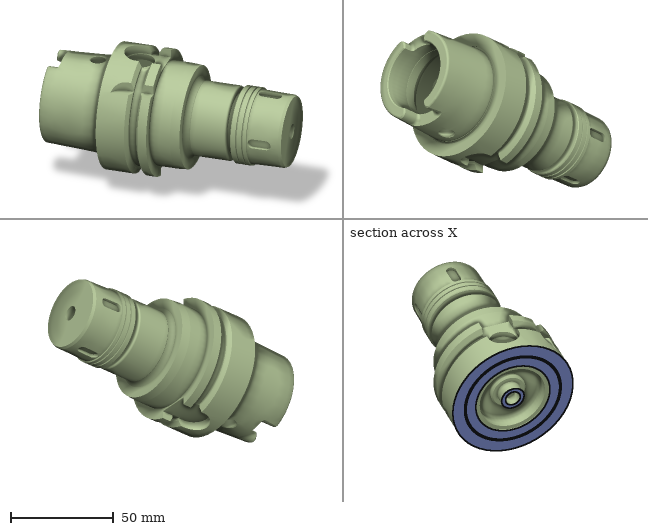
import cadquery as cq
import math


length = 122.0
taper_end = 29.8
flange_start = 32.0
groove_start = 46.4
groove_floor_start = 47.8
groove_floor_end = 51.7
groove_end = 53.2
flange_end = 57.7
collar_taper_start = 68.1
collar_end = 72.8
body_start = 75.6
body_end = 93.8
nut_start = 96.5
nut_rings_end = 104.7
nut_chamfer_start = 120.5

shank_front_radius = 21.7
taper_small_radius = 22.8
taper_slope = 1 / 20
flange_radius = 31.5
groove_rim_radius = 28.9
groove_radius = 27.5
collar_radius = 26.0
collar_end_radius = 25.6
body_radius = 18.5
neck_radius = 15.0
nut_ring_radius = 19.3
nut_large_radius = 18.4
nut_small_radius = 18.0
nut_face_radius = 17.5

shank_rounding = taper_small_radius - shank_front_radius
relief_depth = 0.4
relief_start = 30.5
relief_end = 31.4
face_recess_depth = 0.5
face_recess_fillet = 0.9
cove_radius = 2.9
cove_floor_radius = 18.3
body_step_run = 0.4
body_rounding = 0.9
nut_ring_chamfer = 0.4
nut_ring_groove_width = 0.7
nut_ring_groove_centres = (99.5, 102.6)

mouth_bore_radius = 17.26
mouth_bore_depth = 13.2
mouth_chamfer = 0.5
bore_radius = 17.02
clamp_shoulder_start = 18.2
clamp_shoulder_angle = math.radians(30)
undercut_diameter = 38.4
undercut_end = 33.0
bore_depth = 40.3
bore_floor_fillet = 1.3
tube_start = 18.8
tube_chamfer_end = 20.9
tube_radius = 6.0
tube_tip_radius = 5.31
tube_nut_height = 2.5
tube_nut_radius = 9.0
tube_nut_face_radius = 8.24
passage_diameter = 7.5

drive_slot_half_width = 6.2
drive_slot_round_radius = 2.9
drive_slot_shelf = 20.7
upper_drive_slot_depth = 6.0
lower_drive_slot_depth = 9.9
drive_slot_floor_fillet = 1.5
drive_slot_mouth_chamfer = 0.7

access_hole_x = 23.0
access_hole_diameter = 7.5
access_sink_diameter = 8.8
access_sink_depth = 0.6

flange_slot_x = 44.8
flange_slot_width = 15.9
flange_slot_floor = 26.5
chip_pocket_diameter = 14.0
chip_pocket_depth = 3.0
notch_offset = 19.9
notch_corner_x = 44.0
notch_corner_radius = 7.5

wrench_slot_start = 105.3
wrench_slot_end = 116.9
wrench_slot_width = 4.9
wrench_slot_floor = 16.3
wrench_slot_count = 4


def revolve_profile(profile):
    return profile.close().revolve(360, (0, 0, 0), (1, 0, 0))


def make_shank_and_flange():
    taper_large_radius = taper_small_radius + taper_slope * (taper_end - shank_rounding)
    relief_radius = taper_large_radius - relief_depth
    face_recess_floor = flange_start + face_recess_depth
    face_recess_radius = taper_large_radius + face_recess_fillet
    diagonal = shank_rounding * (1 - math.sqrt(0.5))
    cove_centre_r = cove_floor_radius + cove_radius
    cove_drop = math.sqrt(cove_radius**2 - (body_start - collar_end) ** 2)
    cove_mid_angle = (math.asin((body_start - collar_end) / cove_radius)) / 2
    cove_mid = (
        body_start - cove_radius * math.sin(cove_mid_angle),
        cove_centre_r - cove_radius * math.cos(cove_mid_angle),
    )
    profile = (
        cq.Workplane("XY")
        .lineTo(0, shank_front_radius)
        .threePointArc((diagonal, taper_small_radius - diagonal), (shank_rounding, taper_small_radius))
        .lineTo(taper_end, taper_large_radius)
        .lineTo(relief_start, taper_large_radius)
        .lineTo(relief_start, relief_radius)
        .lineTo(relief_end, relief_radius)
        .lineTo(relief_end, taper_large_radius)
        .lineTo(face_recess_floor - face_recess_fillet, taper_large_radius)
        .tangentArcPoint((face_recess_floor, face_recess_radius), relative=False)
        .lineTo(flange_start, face_recess_radius)
        .lineTo(flange_start, flange_radius)
        .lineTo(groove_start, flange_radius)
        .lineTo(groove_floor_start, groove_rim_radius)
        .lineTo(groove_floor_start, groove_radius)
        .lineTo(groove_floor_end, groove_radius)
        .lineTo(groove_floor_end, groove_rim_radius)
        .lineTo(groove_end, flange_radius)
        .lineTo(flange_end, flange_radius)
        .lineTo(flange_end, collar_radius)
        .lineTo(collar_taper_start, collar_radius)
        .lineTo(collar_end, collar_end_radius)
        .lineTo(collar_end, cove_centre_r - cove_drop)
        .threePointArc(cove_mid, (body_start, cove_floor_radius))
        .lineTo(body_start + body_step_run, body_radius)
        .lineTo(body_end - body_rounding, body_radius)
        .tangentArcPoint((body_end, body_radius - body_rounding), relative=False)
        .lineTo(body_end, neck_radius)
        .lineTo(nut_start, neck_radius)
        .lineTo(nut_start, 0)
    )
    return revolve_profile(profile)


def make_nut():
    profile = (
        cq.Workplane("XY")
        .moveTo(nut_start, 0)
        .lineTo(nut_start, nut_ring_radius - nut_ring_chamfer)
        .lineTo(nut_start + nut_ring_chamfer, nut_ring_radius)
    )
    for centre in nut_ring_groove_centres:
        groove_left = centre - nut_ring_groove_width / 2
        groove_right = centre + nut_ring_groove_width / 2
        profile = (
            profile.lineTo(groove_left, nut_ring_radius)
            .lineTo(groove_left, nut_large_radius)
            .lineTo(groove_right, nut_large_radius)
            .lineTo(groove_right, nut_ring_radius)
        )
    profile = (
        profile.lineTo(nut_rings_end, nut_ring_radius)
        .lineTo(nut_rings_end, nut_large_radius)
        .lineTo(nut_chamfer_start, nut_small_radius)
        .lineTo(length, nut_face_radius)
        .lineTo(length, 0)
    )
    return revolve_profile(profile)


def make_bore():
    undercut_radius = undercut_diameter / 2
    shoulder_run = (undercut_radius - bore_radius) / math.tan(clamp_shoulder_angle)
    fillet_start = bore_depth - bore_floor_fillet
    fillet_diagonal = bore_floor_fillet * (1 - math.sqrt(0.5))
    profile = (
        cq.Workplane("XY")
        .lineTo(0, mouth_bore_radius + mouth_chamfer)
        .lineTo(mouth_chamfer, mouth_bore_radius)
        .lineTo(mouth_bore_depth, mouth_bore_radius)
        .lineTo(mouth_bore_depth, bore_radius)
        .lineTo(clamp_shoulder_start, bore_radius)
        .lineTo(clamp_shoulder_start + shoulder_run, undercut_radius)
        .lineTo(undercut_end, undercut_radius)
        .lineTo(undercut_end, bore_radius)
        .lineTo(fillet_start, bore_radius)
        .threePointArc(
            (bore_depth - fillet_diagonal, bore_radius - fillet_diagonal),
            (bore_depth, bore_radius - bore_floor_fillet),
        )
        .lineTo(bore_depth, 0)
    )
    return revolve_profile(profile)


def make_coolant_tube():
    nut_face = bore_depth - tube_nut_height
    nut_chamfer_end = nut_face + tube_nut_radius - tube_nut_face_radius
    profile = (
        cq.Workplane("XY")
        .moveTo(tube_start, 0)
        .lineTo(tube_start, tube_tip_radius)
        .lineTo(tube_chamfer_end, tube_radius)
        .lineTo(nut_face, tube_radius)
        .lineTo(nut_face, tube_nut_face_radius)
        .lineTo(nut_chamfer_end, tube_nut_radius)
        .lineTo(bore_depth, tube_nut_radius)
        .lineTo(bore_depth, 0)
    )
    return revolve_profile(profile)


def drive_slot_outline():
    """Cross-section of the drive slot on +Z: straight walls that round outward onto a flat shelf."""
    bottom = 12.2
    top = flange_radius
    side = 12.2
    round_start = drive_slot_shelf - drive_slot_round_radius
    round_end_y = drive_slot_half_width + drive_slot_round_radius
    diagonal = drive_slot_round_radius * (1 - math.sqrt(0.5))
    mid_y = drive_slot_half_width + diagonal
    mid_z = drive_slot_shelf - diagonal
    return (
        cq.Workplane("YZ")
        .moveTo(-drive_slot_half_width, bottom)
        .lineTo(drive_slot_half_width, bottom)
        .lineTo(drive_slot_half_width, round_start)
        .threePointArc((mid_y, mid_z), (round_end_y, drive_slot_shelf))
        .lineTo(side, drive_slot_shelf)
        .lineTo(side, top)
        .lineTo(-side, top)
        .lineTo(-side, drive_slot_shelf)
        .lineTo(-round_end_y, drive_slot_shelf)
        .threePointArc((-mid_y, mid_z), (-drive_slot_half_width, round_start))
        .close()
    )


def make_drive_slot(depth):
    """Cutter for the drive slot on +Z, with a rounded floor corner and a chamfered mouth."""
    slot = drive_slot_outline().extrude(depth).faces(">X").edges().fillet(drive_slot_floor_fillet)
    widened_outline = drive_slot_outline().offset2D(drive_slot_mouth_chamfer)
    mouth = widened_outline.extrude(drive_slot_mouth_chamfer, taper=45)
    return slot.union(mouth)


def make_access_hole():
    """Cutter for the countersunk radial hole on +Z, from the tube clearance outward."""
    surface = taper_small_radius + taper_slope * (access_hole_x - shank_rounding)
    sink_floor = surface - access_sink_depth
    hole = (
        cq.Workplane("XY", origin=(access_hole_x, 0, tube_nut_radius))
        .circle(access_hole_diameter / 2)
        .extrude(flange_radius - tube_nut_radius)
    )
    sink = (
        cq.Workplane("XY", origin=(access_hole_x, 0, sink_floor))
        .circle(access_hole_diameter / 2)
        .workplane(offset=access_sink_depth)
        .circle(access_sink_diameter / 2)
        .loft()
    )
    sink_opening = sink.faces(">Z").wires().toPending().extrude(access_sink_depth)
    return hole.union(sink).union(sink_opening)


def make_flange_slot():
    """Cutter for the gripper slot on +Z: round at the shank side, open toward the collar."""
    height = flange_radius - flange_slot_floor
    plane = cq.Workplane("XY", origin=(flange_slot_x, 0, flange_slot_floor))
    round_end = plane.circle(flange_slot_width / 2).extrude(height)
    run = plane.rect(2 * (flange_end - flange_slot_x), flange_slot_width).extrude(height)
    run = run.intersect(plane.box(length, length, length, centered=(False, True, True)))
    return round_end.union(run)


def make_chip_pocket():
    return (
        cq.Workplane("XY", origin=(flange_slot_x, 0, flange_slot_floor - chip_pocket_depth))
        .circle(chip_pocket_diameter / 2)
        .extrude(chip_pocket_depth)
    )


def make_orientation_notch():
    """Cutter for the square notch at the -Y, +Z rim, with one corner rounded by the milling cutter."""
    reach = flange_radius - notch_offset
    left = notch_corner_x - notch_corner_radius
    return (
        cq.Workplane("XY", origin=(0, -notch_offset, notch_offset))
        .moveTo(flange_end, 0)
        .lineTo(notch_corner_x, 0)
        .radiusArc((left, -notch_corner_radius), -notch_corner_radius)
        .lineTo(left, -reach)
        .lineTo(flange_end, -reach)
        .close()
        .extrude(reach)
    )


def make_wrench_slot(angle):
    slot_length = wrench_slot_end - wrench_slot_start
    slot_centre = (wrench_slot_start + wrench_slot_end) / 2
    slot = (
        cq.Workplane("XY", origin=(slot_centre, 0, wrench_slot_floor))
        .slot2D(slot_length, wrench_slot_width)
        .extrude(nut_ring_radius - wrench_slot_floor)
    )
    return slot.rotate((0, 0, 0), (1, 0, 0), angle)


def to_opposite_side(cutter):
    return cutter.rotate((0, 0, 0), (1, 0, 0), 180)


holder = make_shank_and_flange().union(make_nut())
holder = holder.cut(make_bore())
holder = holder.cut(make_drive_slot(upper_drive_slot_depth))
holder = holder.cut(to_opposite_side(make_drive_slot(lower_drive_slot_depth)))

access_hole = make_access_hole()
flange_slot = make_flange_slot()
for cutter in (access_hole, flange_slot):
    holder = holder.cut(cutter).cut(to_opposite_side(cutter))

holder = holder.cut(make_chip_pocket())
holder = holder.cut(make_orientation_notch())
for index in range(wrench_slot_count):
    holder = holder.cut(make_wrench_slot(index * 360 / wrench_slot_count))

holder = holder.union(make_coolant_tube())
passage = cq.Workplane("YZ").circle(passage_diameter / 2).extrude(length)
result = holder.cut(passage)